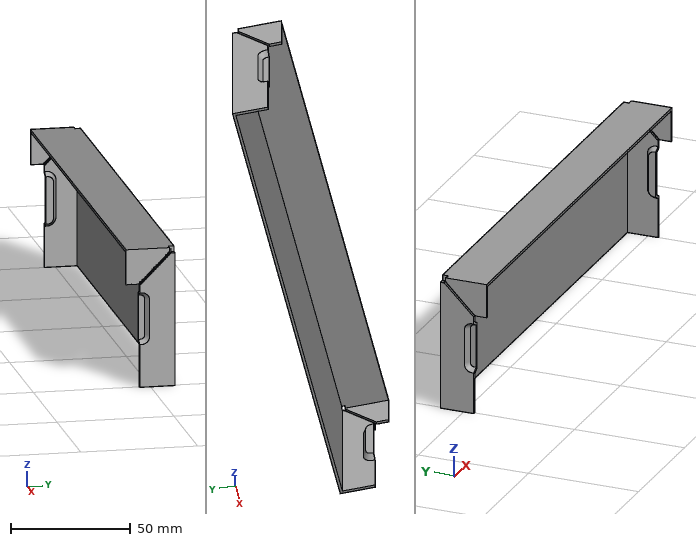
import cadquery as cq
import math

length = 202.0
depth = 21.0
height = 60.0
sheet = 1.2

tab = 15.2
miter_gap = 1.2
relief_x = 2.5
relief_yz = 2.5

recess_top_drop = 19.0
recess_bottom_drop = 41.5
recess_reach = 4.2
recess_depth = 2.6
recess_inset = 1.6
recess_corner = 3.5

left = -length / 2
back = depth / 2
front = -depth / 2
flange_front = back - tab
recess_slope = math.atan(recess_inset / recess_depth)


def box(x0, x1, y0, y1, z0, z1):
    return cq.Workplane("XY").box(x1 - x0, y1 - y0, z1 - z0, centered=False).translate((x0, y0, z0))


def end_plate(points):
    """Plate one sheet thick, lying on the left end of the part."""
    return cq.Workplane("YZ", origin=(left, 0, 0)).polyline(points).close().extrude(sheet)


def side_flange():
    half_gap = miter_gap / 2
    return end_plate([
        (back, 0),
        (flange_front, 0),
        (flange_front, height - tab - half_gap),
        (back, height - half_gap),
    ])


def top_flap():
    half_gap = miter_gap / 2
    return end_plate([
        (back - half_gap, height),
        (front, height),
        (front, height - tab),
        (flange_front - half_gap, height - tab),
    ])


def recess_plug(growth, plug_depth):
    """Tapered plug with a rounded mouth; growth widens the mouth all round."""
    mouth_height = recess_bottom_drop - recess_top_drop + 2 * growth
    mouth_width = 2 * (recess_reach + growth)
    mid_z = height - (recess_top_drop + recess_bottom_drop) / 2
    return (
        cq.Workplane("YZ", origin=(left, flange_front, mid_z))
        .sketch()
        .rect(mouth_width, mouth_height)
        .vertices()
        .fillet(recess_corner + growth)
        .finalize()
        .extrude(plug_depth, taper=math.degrees(recess_slope))
    )


def add_recess(flange):
    shell_growth = sheet / math.cos(recess_slope)
    shell = recess_plug(shell_growth, recess_depth + sheet)
    kept_side = box(left, 0, flange_front, back, 0, height)
    return flange.union(shell.intersect(kept_side)).cut(recess_plug(0, recess_depth))


def corner_relief():
    return box(left, left + relief_x, back - relief_yz, back, height - relief_yz, height)


body = box(left, -left, back - sheet, back, 0, height)
body = body.union(box(left, -left, front, back, height - sheet, height))

end_tabs = add_recess(side_flange()).union(top_flap())
body = body.union(end_tabs).union(end_tabs.mirror("YZ"))
relief = corner_relief()
result = body.cut(relief).cut(relief.mirror("YZ"))